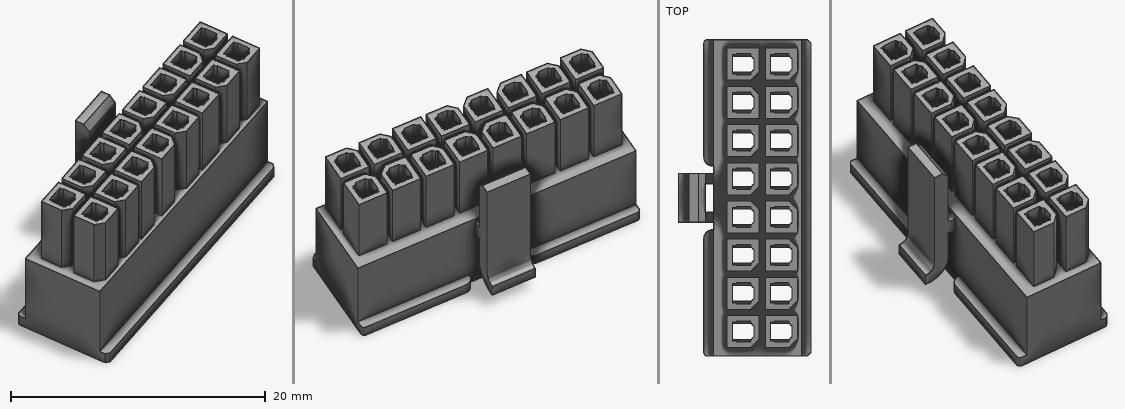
import cadquery as cq
import math


LENGTH = 24.85
BODY_WIDTH = 6.88
BODY_TOP = 7.65
TOTAL_HEIGHT = 14.0
FLANGE_OVERHANG = 0.77
FLANGE_HEIGHT = 1.0
FLANGE_CORNER = 0.3
LATCH_GAP = 5.0
GAP_ROUND = 0.7

ROWS = 8
END_TO_FIRST_POST = 1.95
PITCH = (LENGTH - 2 * END_TO_FIRST_POST) / (ROWS - 1)
POST_SIZE = 2.5
POST_CHAMFER = 0.65
FIRST_COLUMN_X = 1.07
COLUMN_KEYS = (
    (-1, 1, -1, -1, 1, -1, -1, -1),
    (-1, -1, 0, -1, 1, 1, -1, -1),
)

CAVITY_SIZE = 1.66
CHANNEL_WIDTH = 1.22
CHANNEL_CHAMFER = 0.2
RELIEF_END = 0.22
RELIEF_STEP_LENGTH = 0.3
RELIEF_STEP = 0.07
RELIEF_CHAMFER = 0.07

LATCH_WIDTH = 3.85
LATCH_REACH = 2.75
ARM_THICKNESS = 1.3
ARM_CLEARANCE = 0.65
ARM_TOP = 13.02
TOP_CHAMFER_X = 0.52
TOP_CHAMFER_Z = 0.6
TIP_BOTTOM = 1.12
CURL_CENTRE_Z = 3.0
BRIDGE_BOTTOM = 5.85
BRIDGE_TOP = 7.1
BRIDGE_WIDTH = 0.82


def box(x_min, x_max, y_min, y_max, z_min, z_max):
    size = (x_max - x_min, y_max - y_min, z_max - z_min)
    return cq.Workplane("XY").box(*size, centered=False).translate((x_min, y_min, z_min))


def make_housing():
    half_length = LENGTH / 2
    flange = box(-FLANGE_OVERHANG, BODY_WIDTH + FLANGE_OVERHANG,
                 -half_length, half_length, 0, FLANGE_HEIGHT)
    flange = flange.edges("|Z and <X").fillet(FLANGE_CORNER)
    flange = flange.edges("|Z and >X").chamfer(FLANGE_CORNER)
    half_gap = LATCH_GAP / 2
    gap = box(-FLANGE_OVERHANG, 0, -half_gap, half_gap, 0, FLANGE_HEIGHT)
    flange = flange.cut(gap)
    margin = GAP_ROUND / 2
    gap_corners = cq.selectors.BoxSelector(
        (-FLANGE_OVERHANG - margin, -half_gap - margin, 0),
        (-FLANGE_OVERHANG + margin, half_gap + margin, FLANGE_HEIGHT),
    )
    flange = flange.edges("|Z").edges(gap_corners).fillet(GAP_ROUND)
    body = box(0, BODY_WIDTH, -half_length, half_length, 0, BODY_TOP)
    return body.union(flange)


def make_post(key):
    """One post, centred on the Z axis, with its keyed corner cut off."""
    half = POST_SIZE / 2
    post = box(-half, half, -half, half, BODY_TOP, TOTAL_HEIGHT)
    if key > 0:
        post = post.edges("|Z and >X and >Y").chamfer(POST_CHAMFER)
    elif key < 0:
        post = post.edges("|Z and >X and <Y").chamfer(POST_CHAMFER)
    return post


def make_cavity():
    """Through channel plus the wider relief in the post, centred on the Z axis."""
    half = CAVITY_SIZE / 2
    half_channel = CHANNEL_WIDTH / 2
    channel = box(-half, half, -half_channel, half_channel, 0, TOTAL_HEIGHT)
    channel = channel.edges("|Z and >X").chamfer(CHANNEL_CHAMFER)

    relief_end_x = half - RELIEF_END
    step_x = -half + RELIEF_STEP_LENGTH
    half_step = half - RELIEF_STEP
    relief = box(step_x, relief_end_x, -half, half, BODY_TOP, TOTAL_HEIGHT)
    relief = relief.edges("|Z and >X").chamfer(RELIEF_CHAMFER)
    relief_start = box(-half, step_x, -half_step, half_step, BODY_TOP, TOTAL_HEIGHT)
    return channel.union(relief).union(relief_start)


def make_latch():
    tip_x = -LATCH_REACH
    arm_inner_x = -ARM_CLEARANCE
    arm_outer_x = arm_inner_x - ARM_THICKNESS
    curl_inner = arm_outer_x - tip_x
    curl_outer = CURL_CENTRE_Z - TIP_BOTTOM
    outer_centre_x = arm_inner_x - curl_outer
    outer_offset = curl_outer * math.sqrt(0.5)
    inner_offset = curl_inner * math.sqrt(0.5)
    arm_profile = (
        cq.Workplane("XZ")
        .moveTo(tip_x, TIP_BOTTOM)
        .lineTo(outer_centre_x, TIP_BOTTOM)
        .threePointArc((outer_centre_x + outer_offset, CURL_CENTRE_Z - outer_offset),
                       (arm_inner_x, CURL_CENTRE_Z))
        .lineTo(arm_inner_x, ARM_TOP - TOP_CHAMFER_Z)
        .lineTo(arm_inner_x - TOP_CHAMFER_X, ARM_TOP)
        .lineTo(arm_outer_x, ARM_TOP)
        .lineTo(arm_outer_x, CURL_CENTRE_Z)
        .threePointArc((tip_x + inner_offset, CURL_CENTRE_Z - inner_offset),
                       (tip_x, CURL_CENTRE_Z - curl_inner))
        .close()
    )
    latch = arm_profile.extrude(LATCH_WIDTH / 2, both=True)

    groove_radius = ARM_CLEARANCE / 2
    groove_centre_z = BRIDGE_TOP + groove_radius
    bridge_profile = (
        cq.Workplane("XZ")
        .moveTo(arm_inner_x, BRIDGE_BOTTOM)
        .lineTo(0, BRIDGE_BOTTOM)
        .lineTo(0, groove_centre_z)
        .threePointArc((-groove_radius, BRIDGE_TOP), (arm_inner_x, groove_centre_z))
        .close()
    )
    bridge = bridge_profile.extrude(BRIDGE_WIDTH / 2, both=True)
    bridge_y = (LATCH_WIDTH - BRIDGE_WIDTH) / 2
    for side in (-1, 1):
        latch = latch.union(bridge.translate((0, side * bridge_y, 0)))
    return latch


result = make_housing().union(make_latch())
cavity = make_cavity()
for column, keys in enumerate(COLUMN_KEYS):
    post_x = FIRST_COLUMN_X + POST_SIZE / 2 + column * PITCH
    for row, key in enumerate(keys):
        place = (post_x, LENGTH / 2 - END_TO_FIRST_POST - row * PITCH, 0)
        result = result.union(make_post(key).translate(place))
        result = result.cut(cavity.translate(place))